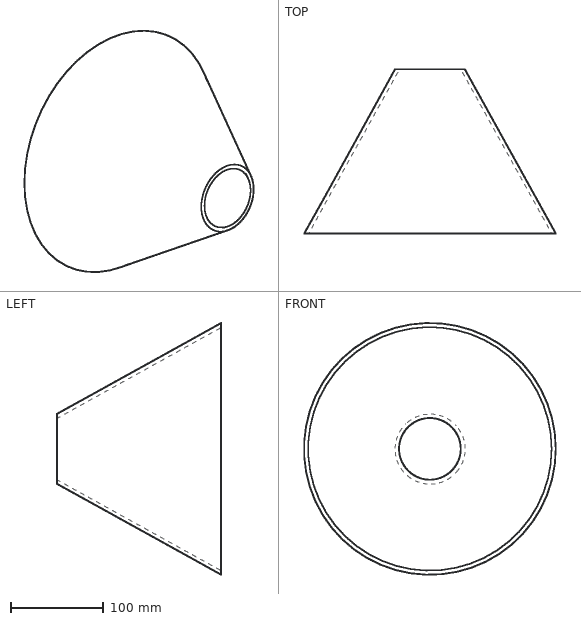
import cadquery as cq

large_diameter = 273.0
small_diameter = 76.0
length = 178.0
radial_wall = 4.6

large_radius = large_diameter / 2
small_radius = small_diameter / 2

wall_section = (
    cq.Workplane("XY")
    .moveTo(large_radius, 0)
    .lineTo(small_radius, length)
    .lineTo(small_radius - radial_wall, length)
    .lineTo(large_radius - radial_wall, 0)
    .close()
)

result = wall_section.revolve(360, (0, 0, 0), (0, 1, 0))